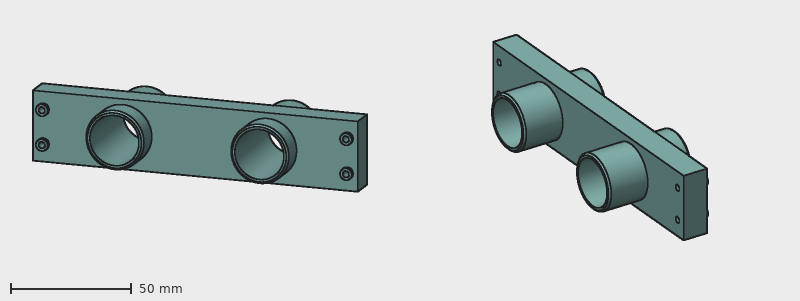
import cadquery as cq

plate_length = 142.5
plate_thickness = 11.7
plate_height = 30.2

tube_diameter = 25.4
bore_diameter = 21.5
tube_length = 41.0
tube_front_reach = 10.4
tube_edge_chamfer = 0.9
tube_spacing = 63.5
tube_centers = [(side * tube_spacing / 2, 0) for side in (-1, 1)]

boss_diameter = 5.1
boss_hole_diameter = 2.7
boss_height = 1.9
boss_spacing_x = 133.4
boss_spacing_z = 15.0


def cylinders(centers, diameter, front_reach, length):
    """Cylinders along Y that start front_reach ahead of the plate's front face."""
    start_plane = cq.Workplane("XZ", origin=(0, -front_reach, 0))
    return start_plane.pushPoints(centers).circle(diameter / 2).extrude(-length)


plate = cq.Workplane("XY").box(plate_length, plate_thickness, plate_height, centered=(True, False, True))

tubes = cylinders(tube_centers, tube_diameter, tube_front_reach, tube_length)
tubes = tubes.faces("<Y or >Y").edges().chamfer(tube_edge_chamfer)
bores = cylinders(tube_centers, bore_diameter, tube_front_reach, tube_length)

boss_centers = [
    (side * boss_spacing_x / 2, level * boss_spacing_z / 2)
    for side in (-1, 1)
    for level in (-1, 1)
]
bosses = cylinders(boss_centers, boss_diameter, boss_height, boss_height)
boss_holes = cylinders(boss_centers, boss_hole_diameter, boss_height, boss_height + plate_thickness)

result = plate.union(tubes).union(bosses).cut(bores).cut(boss_holes)